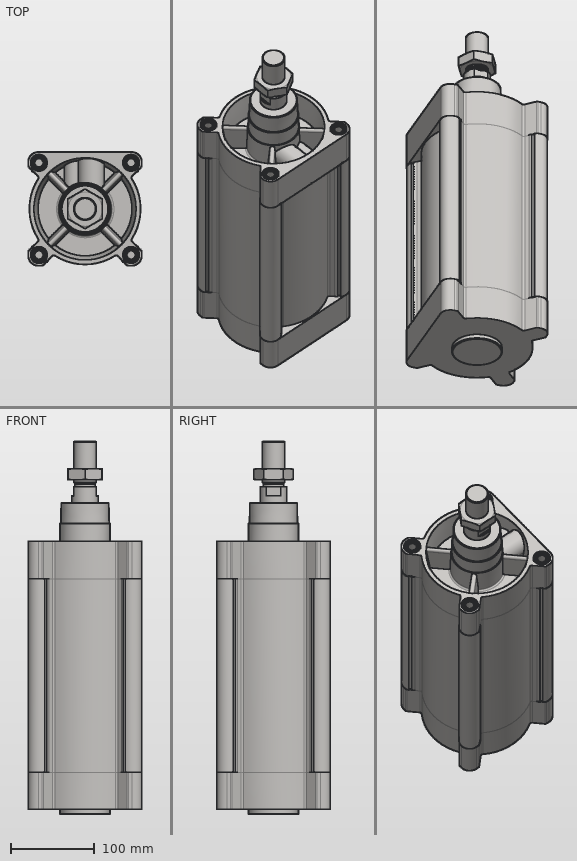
import cadquery as cq
import math

rear_collar_height = 6.0
front_cap_height = 45.0
rear_cap_height = 44.5
total_height = 445.0
housing_top = 326.0
thread_length = 54.0
rear_cap_base = rear_collar_height
rear_cap_top = rear_cap_base + rear_cap_height
front_cap_base = housing_top - front_cap_height
shoulder_height = total_height - thread_length

overall_width = 136.0
half_width = overall_width / 2
body_radius = 66.5
tie_rod_offset = 55.0
tie_rod_reach = tie_rod_offset * math.sqrt(2)
cap_corner_radius = 12.5
cap_edge_radius = 2.5
barrel_lug_radius = half_width - tie_rod_offset
neck_half_width = 12.2
neck_fillet = 2.6
groove_radius = 1.8
groove_shift = 1.0

collar_radius = 30.0
edge_chamfer = 1.0
neck_collar_base = 347.5
neck_collar_top = 372.0
neck_collar_base_radius = 29.0
neck_collar_top_radius = 28.5

recess_floor = 293.0
recess_rim_radius = 61.0
recess_floor_radius = 56.0
hub_top_radius = 31.0
hub_floor_radius = 32.3
hub_floor_fillet = 2.0
rib_drop = 1.5
rib_top_width = 5.7
rib_round_rise = 2.6
rib_base_width = 11.0
port_boss_x = 7.5
port_boss_radius = 15.5
port_boss_z = 305.5
cushion_boss_x = -14.5
cushion_boss_radius = 10.5
cushion_boss_z = 297.0

screw_recess_diameter = 19.9
screw_head_diameter = 18.0
screw_head_chamfer = 1.0
screw_recess_depth = 5.0
screw_thread_diameter = 10.11
screw_thread_depth = 20.0
screw_countersink = 1.4

rod_diameter = 32.0
thread_diameter = 27.0
undercut_diameter = 24.84
undercut_length = 3.0
thread_root_diameter = 24.9
thread_base = 395.5
rod_flats_width = 27.0
rod_flats_length = 11.0

nut_base = 399.0
nut_thickness = 13.5
nut_width = 41.0
nut_half_angle = 30.0
nut_chamfer_angle = 15.0


def cylinder(radius, base, top):
    return cq.Workplane("XY", origin=(0, 0, base)).circle(radius).extrude(top - base)


def cone(base_radius, top_radius, base, top):
    profile = [(0, base), (base_radius, base), (top_radius, top), (0, top)]
    return cq.Workplane("XZ").polyline(profile).close().revolve(360, (0, 0, 0), (0, 1, 0))


def fillet_at(solid, points, radius):
    """Fillet the vertical edge nearest to each (x, y) point."""
    middle = solid.val().Center().z
    for x, y in points:
        nearest = cq.selectors.NearestToPointSelector((x, y, middle))
        solid = solid.edges("|Z").edges(nearest).fillet(radius)
    return solid


def mirrored_pairs(x, y):
    """The eight points that repeat (x, y) over both axes and both diagonals."""
    pairs = ((x, y), (y, x))
    return [(i * a, j * b) for a, b in pairs for i in (-1, 1) for j in (-1, 1)]


def neck_roots():
    """Inside corners where the lug necks meet the round body."""
    along = math.sqrt(body_radius**2 - neck_half_width**2)
    turn = math.radians(45) + math.atan2(neck_half_width, along)
    return mirrored_pairs(body_radius * math.cos(turn), body_radius * math.sin(turn))


def diagonal_necks(base, top, length):
    """Cross of two bars that lie on the corner diagonals."""
    bar = cq.Workplane("XY", origin=(0, 0, base)).rect(length, 2 * neck_half_width).extrude(top - base)
    bar = bar.rotate((0, 0, 0), (0, 0, 1), 45)
    return bar.union(bar.rotate((0, 0, 0), (0, 0, 1), 90))


def cap_block(base, top):
    """Round cap with four diagonal lugs trimmed to a square, and a flat +Y port side."""
    plane = cq.Workplane("XY", origin=(0, 0, base))
    height = top - base
    square = plane.rect(overall_width, overall_width).extrude(height).edges("|Z").fillet(cap_corner_radius)
    lugs = square.intersect(diagonal_necks(base, top, 2 * overall_width))
    lug_corner = half_width - neck_half_width * math.sqrt(2)
    lugs = fillet_at(lugs, mirrored_pairs(half_width, lug_corner), cap_edge_radius)
    block = cylinder(body_radius, base, top).union(lugs)
    block = fillet_at(block, neck_roots(), neck_fillet)
    port_side = [
        (-tie_rod_offset, half_width),
        (tie_rod_offset, half_width),
        (0, half_width - tie_rod_offset),
    ]
    return block.union(plane.polyline(port_side).close().extrude(height))


def barrel():
    """Round body with a rounded tie-rod lug and two fine grooves on every corner."""
    base, top = rear_cap_top, front_cap_base
    plane = cq.Workplane("XY", origin=(0, 0, base))
    body = cylinder(body_radius, base, top).union(diagonal_necks(base, top, 2 * tie_rod_reach))
    body = fillet_at(body, neck_roots(), neck_fillet)
    lugs = plane.polarArray(tie_rod_reach, 45, 360, 4).circle(barrel_lug_radius)
    body = body.union(lugs.extrude(top - base))
    groove_along = tie_rod_reach + groove_shift
    groove_turn = math.degrees(math.atan2(neck_half_width, groove_along))
    groove_reach = math.hypot(groove_along, neck_half_width)
    for turn in (45 - groove_turn, 45 + groove_turn):
        grooves = plane.polarArray(groove_reach, turn, 360, 4).circle(groove_radius)
        body = body.cut(grooves.extrude(top - base))
    return body


def recess_rib():
    """Tapered rib with a round crest, running along Y across the whole recess."""
    crest = housing_top - rib_drop
    shoulder = crest - rib_round_rise
    return (
        cq.Workplane("XZ")
        .moveTo(-rib_base_width / 2, recess_floor)
        .lineTo(rib_base_width / 2, recess_floor)
        .lineTo(rib_top_width / 2, shoulder)
        .threePointArc((0, crest), (-rib_top_width / 2, shoulder))
        .close()
        .extrude(body_radius, both=True)
    )


def recess_boss(x, z, radius):
    """Round-topped boss standing on the recess floor, running from the axis to the +Y side."""
    return (
        cq.Workplane("XZ")
        .moveTo(x - radius, recess_floor)
        .lineTo(x + radius, recess_floor)
        .lineTo(x + radius, z)
        .threePointArc((x, z + radius), (x - radius, z))
        .close()
        .extrude(-half_width)
    )


def recess_cutter():
    """Ring-shaped recess of the front cap, leaving hub, ribs and the two bosses."""
    hub = cone(hub_floor_radius, hub_top_radius, recess_floor, housing_top)
    ring = cone(recess_floor_radius, recess_rim_radius, recess_floor, housing_top).cut(hub)
    hub_root = cq.selectors.RadiusNthSelector(0)
    ring = ring.faces("<Z").edges(hub_root).fillet(hub_floor_fillet)
    for turn in (45, 135):
        ring = ring.cut(recess_rib().rotate((0, 0, 0), (0, 0, 1), turn))
    ring = ring.cut(recess_boss(port_boss_x, port_boss_z, port_boss_radius))
    return ring.cut(recess_boss(cushion_boss_x, cushion_boss_z, cushion_boss_radius))


def screw_cutter():
    """Ring gaps around the chamfered screw heads, and the countersunk thread holes in the heads."""
    head_radius = screw_head_diameter / 2
    hole_radius = screw_thread_diameter / 2
    recess_base = housing_top - screw_recess_depth
    head = cylinder(head_radius, recess_base, housing_top).faces(">Z").chamfer(screw_head_chamfer)
    hole = cylinder(hole_radius, housing_top - screw_thread_depth, housing_top)
    sink_radius = hole_radius + screw_countersink
    sink = cone(hole_radius, sink_radius, housing_top - screw_countersink, housing_top)
    gap = cylinder(screw_recess_diameter / 2, recess_base, housing_top).cut(head)
    cutter = cq.Workplane("XY")
    for x in (-tie_rod_offset, tie_rod_offset):
        for y in (-tie_rod_offset, tie_rod_offset):
            for piece in (gap, hole.union(sink)):
                cutter = cutter.add(piece.translate((x, y, 0)))
    return cutter.combine()


def piston_rod():
    rod = cylinder(rod_diameter / 2, front_cap_base, shoulder_height)
    for side in (-1, 1):
        flat = cq.Workplane("XY").box(rod_diameter, rod_diameter, rod_flats_length)
        x = side * (rod_flats_width + rod_diameter) / 2
        rod = rod.cut(flat.translate((x, 0, shoulder_height - rod_flats_length / 2)))
    undercut_top = shoulder_height + undercut_length
    rod = rod.union(cylinder(undercut_diameter / 2, shoulder_height, undercut_top))
    rod = rod.union(cylinder(thread_root_diameter / 2, undercut_top, thread_base))
    thread = cylinder(thread_diameter / 2, thread_base, total_height)
    return rod.union(thread.faces("<Z or >Z").chamfer(edge_chamfer))


def lock_nut():
    corner_diameter = nut_width / math.cos(math.radians(nut_half_angle))
    nut_top = nut_base + nut_thickness
    nut = (
        cq.Workplane("XY", origin=(0, 0, nut_base))
        .polygon(6, corner_diameter)
        .extrude(nut_thickness)
        .rotate((0, 0, 0), (0, 0, 1), nut_half_angle)
    )
    rise = (corner_diameter - nut_width) / 2 * math.tan(math.radians(nut_chamfer_angle))
    turned = (
        cylinder(corner_diameter / 2, nut_base + rise, nut_top - rise)
        .union(cone(nut_width / 2, corner_diameter / 2, nut_base, nut_base + rise))
        .union(cone(corner_diameter / 2, nut_width / 2, nut_top - rise, nut_top))
    )
    return nut.intersect(turned).cut(cylinder(thread_diameter / 2, nut_base, nut_top))


def housing_body():
    rear_collar = cylinder(collar_radius, 0, rear_cap_base).faces("<Z").chamfer(edge_chamfer)
    front_cap = cap_block(front_cap_base, housing_top).cut(recess_cutter()).cut(screw_cutter())
    front_collar = cylinder(collar_radius, housing_top, neck_collar_base).faces(">Z").chamfer(
        collar_radius - neck_collar_base_radius
    )
    neck_collar = cone(
        neck_collar_base_radius, neck_collar_top_radius, neck_collar_base, neck_collar_top
    ).faces(">Z").chamfer(edge_chamfer)
    body = cap_block(rear_cap_base, rear_cap_top)
    for piece in (rear_collar, barrel(), front_cap, front_collar, neck_collar):
        body = body.union(piece, clean=False)
    return body.cut(cylinder(rod_diameter / 2, front_cap_base, neck_collar_top), clean=False)


housing = housing_body()
rod = piston_rod()
nut = lock_nut()

result = cq.Compound.makeCompound([housing.val(), rod.val(), nut.val()])